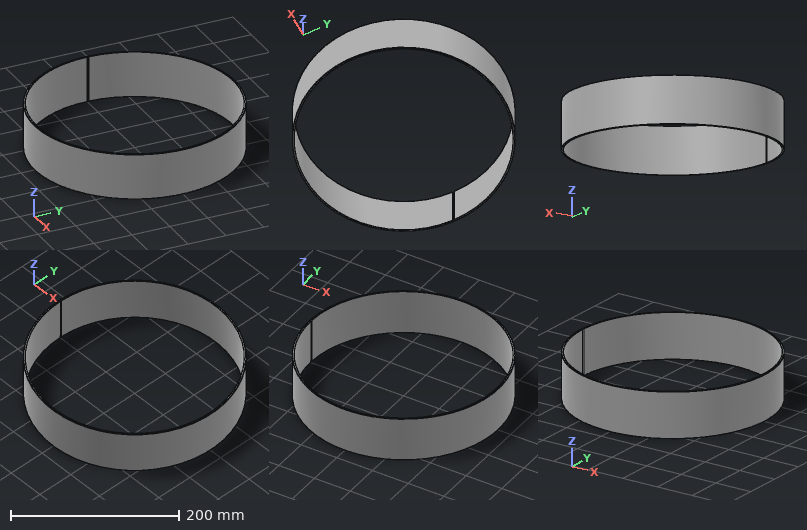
import cadquery as cq

outer_diameter = 265.0
wall_thickness = 2.5
height = 60.0
outer_chamfer = 0.5
inner_chamfer = 0.2
gap_angle = 1.0

outer_radius = outer_diameter / 2
inner_radius = outer_radius - wall_thickness


def wall_section():
    """Wall cross-section on the -X side, with all four corners chamfered."""
    corners = [
        (-outer_radius + outer_chamfer, 0),
        (-inner_radius - inner_chamfer, 0),
        (-inner_radius, inner_chamfer),
        (-inner_radius, height - inner_chamfer),
        (-inner_radius - inner_chamfer, height),
        (-outer_radius + outer_chamfer, height),
        (-outer_radius, height - outer_chamfer),
        (-outer_radius, outer_chamfer),
    ]
    return cq.Workplane("XZ").polyline(corners).close()


def split_ring():
    """Sweep the wall about Z from the -X axis, stopping short to leave the gap on its +Y side."""
    axis_start = (0, 0)
    axis_end = (0, 1)
    return wall_section().revolve(360 - gap_angle, axis_start, axis_end)


result = split_ring()